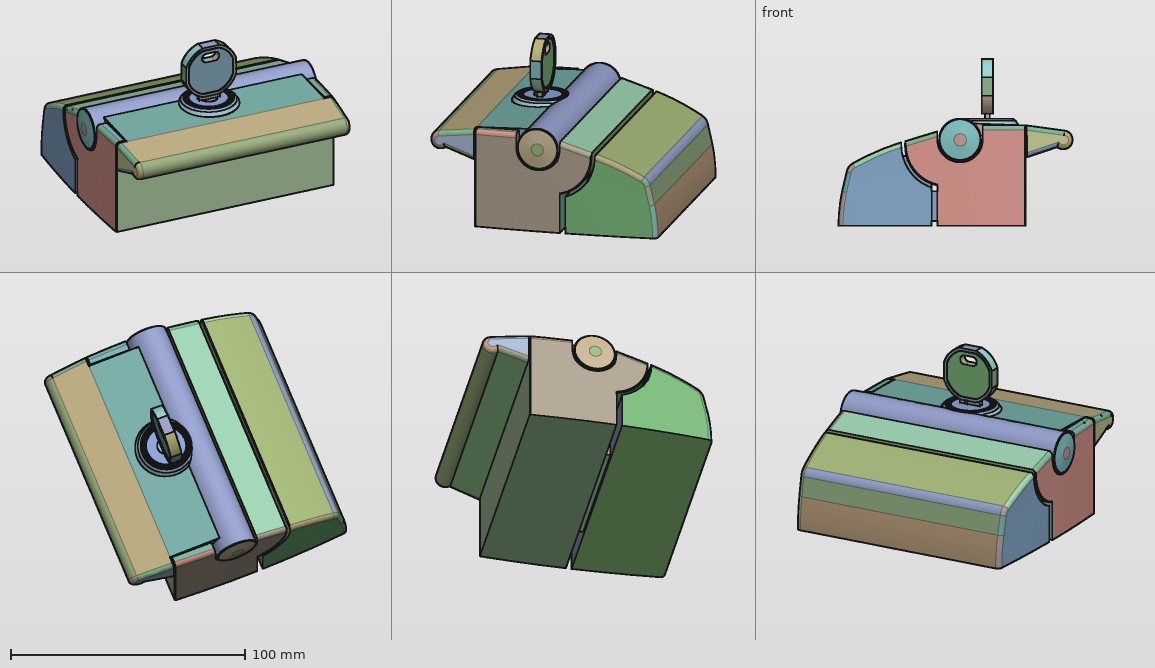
import cadquery as cq
import math

OVERALL_LENGTH = 100.0

SIDE_HALF_WIDTH = 52.0
SIDE_BULGE_RADIUS = 566.3
SIDE_FILLET = 2.0
MIN_SIDE_HALF_WIDTH = 47.0
END_MARGIN = 1.1
BLANK_HALF_WIDTH = 64.1
EDGE_BREAK = 0.4

BARREL_X = 51.9
BARREL_Z = 36.9
BARREL_RADIUS = 9.0
BARREL_EDGE_BREAK = 0.3
BARREL_HALF_LENGTH = 53.4
BARREL_CONE_HEIGHT = 0.9
BARREL_FLAT_RADIUS = 2.7
BARREL_GROOVE_RADIUS = 9.6

JOINT_X = 45.9
JOINT_Z = 34.4
JOINT_OUTER_RADIUS = 19.0
JOINT_INNER_RADIUS = 17.5

FRONT_BACK_X = 39.9
FRONT_TOP_Z = 35.8
FRONT_TOP_BOW = 0.7
NOSE_X = 4.1
NOSE_Z = 25.5
NOSE_FILLET = 5.3
NOSE_ARC_RADIUS = 71.6
NOSE_ARC_TOP_Z = 14.9
TONGUE_HALF_WIDTH = 27.8
CURVED_TONGUE_TOP_Z = 29.9
FLAT_TONGUE_BOTTOM_Z = 2.0
FLAT_TONGUE_TOP_Z = 14.9

REAR_FRONT_X = 42.3
REAR_BACK_X = 80.0
REAR_TOP_Z = 43.1
REAR_SLOPE_START_Z = 36.2
REAR_SLOPE_END_Z = 40.4

CLEARANCE = 0.4
PLATE_HALF_WIDTH = 46.7
PLATE_BOTTOM_Z = 38.5
PLATE_FRONT_X = 57.4
PLATE_FRONT_Z = 43.8
HANDLE_FRONT_X = REAR_BACK_X + CLEARANCE
HANDLE_TOP_Z = 43.0
HANDLE_BOTTOM_Z = 29.3
TIP_RADIUS = 4.1
TIP_X = OVERALL_LENGTH - TIP_RADIUS
TIP_Z = 36.8
HANDLE_NECK_X = 93.4

LOCK_X = 63.6
BOSS_BASE_RADIUS = 13.2
BOSS_TOP_RADIUS = 12.1
BOSS_CROWN_RADIUS = 10.9
BOSS_BASE_Z = 43.3
BOSS_TOP_Z = 45.0
LOCK_RADIUS = 10.3
LOCK_FACE_RADIUS = 8.5
LOCK_TOP_Z = 45.8
LOCK_CHAMFER = 0.4
FACE_RING_DEPTH = 0.3
FACE_RING_WIDTH = 0.6
KEY_MARK_RADIUS = 3.8
KEY_MARK_DEPTH = 0.2

BOW_THICKNESS = 4.9
BOW_SIZE = 23.5
BOW_CORNER_RADIUS = 12.4
BOW_BOTTOM_Z = 47.9
BOW_RIM = 1.4
BOW_RECESS_DEPTH = 0.4
RING_SLOT_LENGTH = 8.1
RING_SLOT_HEIGHT = 4.1
RING_SLOT_Z = 66.0
BLADE_THICKNESS = 2.1
BLADE_WIDTH = 9.8
BLADE_DEPTH = 4.3
BLADE_GROOVE_Y = 1.7
BLADE_GROOVE_WIDTH = 1.4
BLADE_GROOVE_DEPTH = 0.5
BLADE_GROOVE_TOP_Z = 47.3


def circle_z_below(center_x, center_z, radius, x):
    """Height of the lower half of a circle at the given X."""
    return center_z - math.sqrt(radius ** 2 - (x - center_x) ** 2)


def circle_x_left(center_x, center_z, radius, z):
    """X of the left half of a circle at the given height."""
    return center_x - math.sqrt(radius ** 2 - (z - center_z) ** 2)


def slab(profile, half_width):
    """Extrude a closed XZ profile symmetrically about Y = 0."""
    return profile.extrude(half_width, both=True)


def box(x0, x1, half_width, z0, z1):
    """Box between two X and two Z limits, symmetric about Y = 0."""
    size = (x1 - x0, 2 * half_width, z1 - z0)
    return cq.Workplane("XY").box(*size).translate(((x0 + x1) / 2, 0, (z0 + z1) / 2))


def y_cylinder(x, z, radius, half_length):
    return slab(cq.Workplane("XZ").center(x, z).circle(radius), half_length)


def trim_to_bulged_sides(body):
    """Keep the part of the body between the two large side arcs."""
    reach = BLANK_HALF_WIDTH
    end_half_width = SIDE_HALF_WIDTH - SIDE_BULGE_RADIUS + math.sqrt(SIDE_BULGE_RADIUS ** 2 - reach ** 2)
    plan = (
        cq.Workplane("XY", origin=(BARREL_X, 0, 0))
        .moveTo(-reach, -end_half_width)
        .threePointArc((0, -SIDE_HALF_WIDTH), (reach, -end_half_width))
        .lineTo(reach, end_half_width)
        .threePointArc((0, SIDE_HALF_WIDTH), (-reach, end_half_width))
        .close()
    )
    return body.intersect(plan.extrude(BARREL_Z + BARREL_RADIUS))


def fillet_side_edges(body, belongs_to_skin):
    """Round the edges of the bulged sides whose centre passes the given test."""
    def on_side(edge):
        center = edge.Center()
        return abs(center.y) > MIN_SIDE_HALF_WIDTH and belongs_to_skin(center)

    return body.edges().filter(on_side).fillet(SIDE_FILLET)


def make_front_block():
    nose_arc_angle = math.asin(NOSE_ARC_TOP_Z / NOSE_ARC_RADIUS)

    def nose_point(angle):
        return NOSE_ARC_RADIUS * (1 - math.cos(angle)), NOSE_ARC_RADIUS * math.sin(angle)

    top_x = circle_x_left(JOINT_X, JOINT_Z, JOINT_OUTER_RADIUS, FRONT_TOP_Z)
    chord_angle = math.atan2(FRONT_TOP_Z - NOSE_Z, top_x - NOSE_X)
    top_middle = (
        (NOSE_X + top_x) / 2 - FRONT_TOP_BOW * math.sin(chord_angle),
        (NOSE_Z + FRONT_TOP_Z) / 2 + FRONT_TOP_BOW * math.cos(chord_angle),
    )
    joint_middle_z = JOINT_Z - JOINT_OUTER_RADIUS / 2
    joint_middle = (
        circle_x_left(JOINT_X, JOINT_Z, JOINT_OUTER_RADIUS, joint_middle_z),
        joint_middle_z,
    )
    joint_end_z = circle_z_below(JOINT_X, JOINT_Z, JOINT_OUTER_RADIUS, FRONT_BACK_X)
    profile = (
        cq.Workplane("XZ")
        .moveTo(0, 0)
        .threePointArc(nose_point(nose_arc_angle / 2), nose_point(nose_arc_angle))
        .lineTo(NOSE_X, NOSE_Z)
        .threePointArc(top_middle, (top_x, FRONT_TOP_Z))
        .threePointArc(joint_middle, (FRONT_BACK_X, joint_end_z))
        .lineTo(FRONT_BACK_X, 0)
        .close()
    )
    block = slab(profile, BLANK_HALF_WIDTH)
    nose_edge = cq.selectors.NearestToPointSelector((NOSE_X, 0, NOSE_Z))
    block = block.edges("|Y").edges(nose_edge).fillet(NOSE_FILLET)
    back_top_edge = cq.selectors.NearestToPointSelector((top_x, 0, FRONT_TOP_Z))
    block = block.edges("|Y").edges(back_top_edge).chamfer(EDGE_BREAK)
    block = trim_to_bulged_sides(block)

    def on_nose_or_top(point):
        on_top = point.x < top_x - END_MARGIN and point.z > NOSE_Z
        on_nose = point.x < NOSE_X + NOSE_FILLET / 2 and point.z > END_MARGIN
        return on_top or on_nose

    block = fillet_side_edges(block, on_nose_or_top)
    return block.union(make_curved_tongue()).union(make_flat_tongue())


def make_curved_tongue():
    """Tongue that bridges the curved gap to the rear block."""
    ring = y_cylinder(JOINT_X, JOINT_Z, JOINT_OUTER_RADIUS, TONGUE_HALF_WIDTH)
    ring = ring.cut(y_cylinder(JOINT_X, JOINT_Z, JOINT_INNER_RADIUS, TONGUE_HALF_WIDTH))
    return ring.intersect(box(0, FRONT_BACK_X, TONGUE_HALF_WIDTH, 0, CURVED_TONGUE_TOP_Z))


def make_flat_tongue():
    """Tongue that bridges the upright gap to the rear block."""
    return box(FRONT_BACK_X, REAR_FRONT_X, TONGUE_HALF_WIDTH, FLAT_TONGUE_BOTTOM_Z, FLAT_TONGUE_TOP_Z)


def make_rear_block():
    joint_end_z = circle_z_below(JOINT_X, JOINT_Z, JOINT_INNER_RADIUS, REAR_FRONT_X)
    joint_middle_z = JOINT_Z - JOINT_INNER_RADIUS / 2
    joint_middle_x = circle_x_left(JOINT_X, JOINT_Z, JOINT_INNER_RADIUS, joint_middle_z)
    joint_top_x = circle_x_left(JOINT_X, JOINT_Z, JOINT_INNER_RADIUS, REAR_SLOPE_START_Z)
    groove_left_x = BARREL_X - BARREL_GROOVE_RADIUS
    groove_right_x = BARREL_X + BARREL_GROOVE_RADIUS
    profile = (
        cq.Workplane("XZ")
        .moveTo(REAR_FRONT_X, 0)
        .lineTo(REAR_FRONT_X, joint_end_z)
        .threePointArc((joint_middle_x, joint_middle_z), (joint_top_x, REAR_SLOPE_START_Z))
        .lineTo(groove_left_x, REAR_SLOPE_END_Z)
        .lineTo(groove_left_x, BARREL_Z)
        .threePointArc((BARREL_X, BARREL_Z - BARREL_GROOVE_RADIUS), (groove_right_x, BARREL_Z))
        .lineTo(groove_right_x, REAR_TOP_Z)
        .lineTo(REAR_BACK_X, REAR_TOP_Z)
        .lineTo(REAR_BACK_X, 0)
        .close()
    )
    block = trim_to_bulged_sides(slab(profile, BLANK_HALF_WIDTH))

    def on_top(point):
        before_groove = joint_top_x + END_MARGIN < point.x < groove_left_x - END_MARGIN
        on_slope = before_groove and point.z > REAR_SLOPE_START_Z
        beside_plate = groove_right_x + END_MARGIN < point.x < REAR_BACK_X - END_MARGIN
        on_cheek = beside_plate and point.z > REAR_TOP_Z - END_MARGIN
        return on_slope or on_cheek

    def on_joint_side(edge):
        middle = edge.positionAt(0.5)
        to_joint_axis = math.hypot(middle.x - JOINT_X, middle.z - JOINT_Z)
        on_arc = abs(to_joint_axis - JOINT_INNER_RADIUS) < EDGE_BREAK
        return on_arc and abs(middle.y) > MIN_SIDE_HALF_WIDTH

    block = block.edges().filter(on_joint_side).chamfer(EDGE_BREAK)
    block = fillet_side_edges(block, on_top)
    block = block.faces(">X").edges("not(<Z)").chamfer(EDGE_BREAK)
    plate_pocket = box(
        BARREL_X, REAR_BACK_X, PLATE_HALF_WIDTH + CLEARANCE, PLATE_BOTTOM_Z, REAR_TOP_Z
    )
    return block.cut(plate_pocket)


def make_barrel():
    """Full-length hinge barrel with shallow conical ends."""
    rim_y = BARREL_HALF_LENGTH - BARREL_CONE_HEIGHT
    edge_y = rim_y - BARREL_EDGE_BREAK
    rim_radius = BARREL_RADIUS - BARREL_EDGE_BREAK
    outline = [
        (0, -BARREL_HALF_LENGTH),
        (BARREL_FLAT_RADIUS, -BARREL_HALF_LENGTH),
        (rim_radius, -rim_y),
        (BARREL_RADIUS, -edge_y),
        (BARREL_RADIUS, edge_y),
        (rim_radius, rim_y),
        (BARREL_FLAT_RADIUS, BARREL_HALF_LENGTH),
        (0, BARREL_HALF_LENGTH),
    ]
    barrel = cq.Workplane("XY").polyline(outline).close().revolve(360, (0, 0, 0), (0, 1, 0))
    return barrel.translate((BARREL_X, 0, BARREL_Z))


def make_plate():
    profile = cq.Workplane("XZ").polyline([
        (BARREL_X, PLATE_BOTTOM_Z),
        (BARREL_X, PLATE_FRONT_Z),
        (PLATE_FRONT_X, PLATE_FRONT_Z),
        (HANDLE_FRONT_X, HANDLE_TOP_Z),
        (HANDLE_FRONT_X, PLATE_BOTTOM_Z),
    ]).close()
    return slab(profile, PLATE_HALF_WIDTH)


def make_handle():
    neck_z = circle_z_below(TIP_X, TIP_Z, TIP_RADIUS, HANDLE_NECK_X)
    rise = HANDLE_TOP_Z - TIP_Z
    run = TIP_X - HANDLE_FRONT_X
    slope_angle = math.asin(TIP_RADIUS / math.hypot(run, rise)) - math.atan2(rise, run)
    tangent_point = (
        TIP_X - TIP_RADIUS * math.sin(slope_angle),
        TIP_Z + TIP_RADIUS * math.cos(slope_angle),
    )
    profile = (
        cq.Workplane("XZ")
        .moveTo(HANDLE_FRONT_X, HANDLE_BOTTOM_Z)
        .lineTo(HANDLE_FRONT_X, HANDLE_TOP_Z)
        .lineTo(*tangent_point)
        .threePointArc((TIP_X + TIP_RADIUS, TIP_Z), (HANDLE_NECK_X, neck_z))
        .close()
    )
    handle = trim_to_bulged_sides(slab(profile, BLANK_HALF_WIDTH))
    return fillet_side_edges(handle, lambda point: point.x > HANDLE_FRONT_X + END_MARGIN)


def make_lock_boss():
    """Round boss on the plate, its top rising gently to the lock."""
    outline = [
        (0, PLATE_BOTTOM_Z),
        (BOSS_BASE_RADIUS, PLATE_BOTTOM_Z),
        (BOSS_BASE_RADIUS, BOSS_BASE_Z),
        (BOSS_TOP_RADIUS, BOSS_TOP_Z),
        (BOSS_CROWN_RADIUS, LOCK_TOP_Z),
        (0, LOCK_TOP_Z),
    ]
    boss = cq.Workplane("XZ").polyline(outline).close().revolve(360, (0, 0, 0), (0, 1, 0))
    return boss.translate((LOCK_X, 0, 0))


def make_lever():
    lever = make_barrel().union(make_plate()).union(make_handle()).union(make_lock_boss())
    lock_bore = (
        cq.Workplane("XY", origin=(LOCK_X, 0, PLATE_BOTTOM_Z))
        .circle(LOCK_RADIUS)
        .extrude(LOCK_TOP_Z - PLATE_BOTTOM_Z)
    )
    return lever.cut(lock_bore)


def make_blade_blank(bottom_z, top_z):
    half_thickness = BLADE_THICKNESS / 2
    return box(LOCK_X - half_thickness, LOCK_X + half_thickness, BLADE_WIDTH / 2, bottom_z, top_z)


def make_lock():
    lock = (
        cq.Workplane("XY", origin=(LOCK_X, 0, PLATE_BOTTOM_Z))
        .circle(LOCK_RADIUS)
        .extrude(LOCK_TOP_Z - PLATE_BOTTOM_Z)
        .faces(">Z")
        .chamfer(LOCK_CHAMFER)
    )
    face_ring = (
        cq.Workplane("XY", origin=(LOCK_X, 0, LOCK_TOP_Z - FACE_RING_DEPTH))
        .circle(LOCK_FACE_RADIUS + FACE_RING_WIDTH)
        .circle(LOCK_FACE_RADIUS)
        .extrude(FACE_RING_DEPTH)
    )
    key_mark = (
        cq.Workplane("XY", origin=(LOCK_X, 0, LOCK_TOP_Z - KEY_MARK_DEPTH))
        .moveTo(0, -KEY_MARK_RADIUS)
        .threePointArc((KEY_MARK_RADIUS, 0), (0, KEY_MARK_RADIUS))
        .close()
        .extrude(KEY_MARK_DEPTH)
    )
    blade_slot = make_blade_blank(LOCK_TOP_Z - BLADE_DEPTH, LOCK_TOP_Z)
    return lock.cut(face_ring).cut(key_mark).cut(blade_slot)


def make_bow_outline(inset, thickness):
    """Square with its corners rounded by a circle, reduced all round by the inset."""
    half_size = BOW_SIZE / 2 - inset
    center_z = BOW_BOTTOM_Z + BOW_SIZE / 2
    square = box(
        LOCK_X - thickness / 2, LOCK_X + thickness / 2, half_size, center_z - half_size, center_z + half_size
    )
    disc = (
        cq.Workplane("YZ", origin=(LOCK_X, 0, center_z))
        .circle(BOW_CORNER_RADIUS - inset)
        .extrude(thickness / 2, both=True)
    )
    return square.intersect(disc)


def make_key():
    bow = make_bow_outline(0, BOW_THICKNESS)
    for side in (1, -1):
        recess_offset = side * (BOW_THICKNESS - BOW_RECESS_DEPTH) / 2
        bow = bow.cut(make_bow_outline(BOW_RIM, BOW_RECESS_DEPTH).translate((recess_offset, 0, 0)))
    ring_slot = (
        cq.Workplane("YZ", origin=(LOCK_X, 0, RING_SLOT_Z))
        .slot2D(RING_SLOT_LENGTH, RING_SLOT_HEIGHT)
        .extrude(BOW_THICKNESS, both=True)
    )
    blade = make_blade_blank(LOCK_TOP_Z - BLADE_DEPTH, BOW_BOTTOM_Z)
    blade_groove = box(
        LOCK_X - BLADE_THICKNESS / 2,
        LOCK_X - BLADE_THICKNESS / 2 + BLADE_GROOVE_DEPTH,
        BLADE_GROOVE_WIDTH / 2,
        LOCK_TOP_Z - BLADE_DEPTH,
        BLADE_GROOVE_TOP_Z,
    ).translate((0, BLADE_GROOVE_Y, 0))
    return bow.cut(ring_slot).union(blade.cut(blade_groove))


front_block = make_front_block()
rear_block = make_rear_block()
lever = make_lever()
lock = make_lock()
key = make_key()

result = cq.Compound.makeCompound([
    front_block.val(),
    rear_block.val(),
    lever.val(),
    lock.val(),
    key.val(),
])